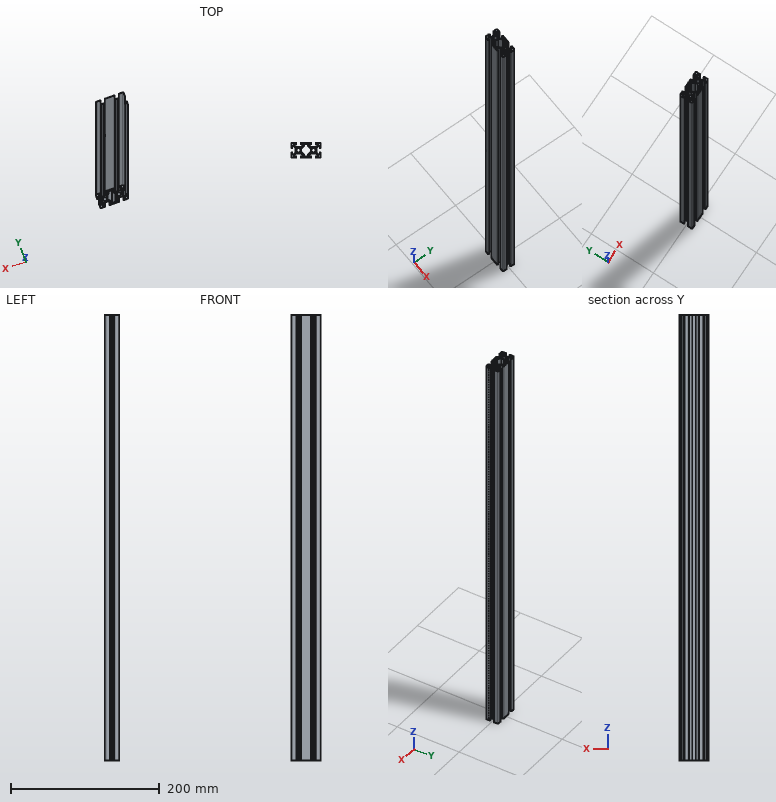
import math

import cadquery as cq

length = 600.0
module = 20.0
unit_count = 2
width = module * unit_count
half_module = module / 2
half_width = width / 2
corner_radius = 1.5
wall = 1.8
rib_thickness = 1.5

throat_half = 3.0
lip_radius = 0.7
mouth_half = throat_half + lip_radius
chamber_half = 5.85
core_half = 4.6
groove_half = 0.94
groove_angle = 18.0
groove_depth = groove_half * math.tan(math.radians(groove_angle))
rib_offset = rib_thickness / math.sqrt(2)
floor_half = core_half - rib_offset
floor_depth = half_module - core_half
chamber_wall_end = half_module - chamber_half - rib_offset

bore_diameter = 5.5

cavity_half_height = half_module - wall
cavity_end_half = 2.3
cavity_waist_half = 6.5
cavity_slope_sum = half_module + rib_offset - wall * math.sqrt(2)
cavity_waist_end = cavity_slope_sum - cavity_waist_half
cavity_shoulder = cavity_slope_sum - cavity_end_half

unit_centers = [(index + 0.5) * module - half_width for index in range(unit_count)]


def mirrored(points):
    """The points reflected in the Y axis, in reverse order."""
    return [(-x, y) for x, y in reversed(points)]


def make_blank():
    """Full-length bar with rounded long edges."""
    return cq.Workplane("XY").rect(width, module).extrude(length).edges("|Z").fillet(corner_radius)


def make_slot():
    """T-slot cutter with its mouth on the XZ plane, opening toward +Y."""
    right_side = [
        (throat_half, -lip_radius),
        (throat_half, -wall),
        (chamber_half, -wall),
        (chamber_half, -chamber_wall_end),
        (floor_half, -floor_depth),
        (groove_half, -floor_depth),
    ]
    groove_bottom = (0, -floor_depth - groove_depth)
    arc_inset = lip_radius * math.sqrt(0.5)
    arc_x = mouth_half - arc_inset
    arc_y = arc_inset - lip_radius
    return (
        cq.Workplane("XY")
        .moveTo(mouth_half, 0)
        .threePointArc((arc_x, arc_y), right_side[0])
        .polyline(right_side + [groove_bottom] + mirrored(right_side), includeCurrent=False)
        .threePointArc((-arc_x, arc_y), (-mouth_half, 0))
        .close()
        .extrude(length)
    )


def place_slot(x, y, angle):
    """Slot cutter turned about Z and moved so that its mouth is centred at (x, y)."""
    return make_slot().rotate((0, 0, 0), (0, 0, 1), angle).translate((x, y, 0))


def make_cavity():
    """Hollow between the cores, with 45-degree walls along the ribs."""
    upper_right = [
        (cavity_waist_half, cavity_waist_end),
        (cavity_end_half, cavity_shoulder),
        (cavity_end_half, cavity_half_height),
    ]
    upper = upper_right + mirrored(upper_right)
    lower = [(-x, -y) for x, y in upper]
    return cq.Workplane("XY").polyline(upper + lower).close().extrude(length)


def make_bores():
    """Round bore along the axis of each unit."""
    centers = [(x, 0) for x in unit_centers]
    return cq.Workplane("XY").pushPoints(centers).circle(bore_diameter / 2).extrude(length)


result = make_blank()
for center_x in unit_centers:
    result = result.cut(place_slot(center_x, half_module, 0))
    result = result.cut(place_slot(center_x, -half_module, 180))
result = result.cut(place_slot(-half_width, 0, 90))
result = result.cut(place_slot(half_width, 0, -90))
result = result.cut(make_cavity())
result = result.cut(make_bores())